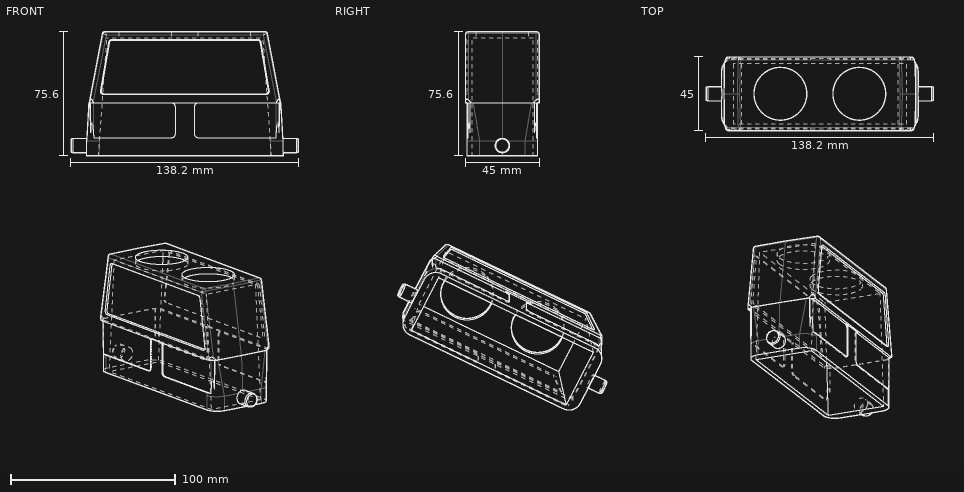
import cadquery as cq
import math

pin_span = 138.2
height = 75.6
skirt_height = 9.2
ledge_height = 32.3

lower_half_width = 21.5
base_half_length = 59.9
skirt_half_length = 59.7
neck_half_length = 58.4
base_corner_radius = 7.7
neck_corner_radius = 3.8
lower_end_crown = 0.1

upper_half_width = 22.5
upper_bottom_half_length = 58.2
upper_top_half_length = 50.0
upper_bottom_crown = 0.4
upper_top_crown = 0.7
upper_fillet = 2.0
end_rim_fillet = 1.37
corner_trim_length = 2.7
corner_trim_width = 4.3
corner_trim_apex = 6.0

entry_diameter = 32.0
entry_offset = 24.0

roof_thickness = 4.0
cavity_half_width = 18.5
cavity_top_half_length = 47.5
cavity_bottom_half_length = 52.6

pin_diameter = 8.8
pin_tip_diameter = 8.0
pin_height = 6.3
pin_end = pin_span / 2
pin_tip_length = 1.2
pin_root = 56.0

panel_bottom = 37.3
panel_top = 70.8
panel_bottom_half_length = 51.7
panel_top_half_length = 46.0
panel_depth = 1.0
panel_wall_draft = 0.5
panel_corner_radius = 2.0

grip_bottom = 11.0
grip_inner_x = 5.8
grip_half_width = 20.8
grip_half_length = 57.4
grip_edge_radius = 2.0
grip_reach = 1.9
grip_corner_radius = 2.5


def crowned_outline(z, half_length, half_width, crown):
    """Rectangle whose two end sides come to a shallow point at y = 0."""
    edge = half_length - crown
    corners = [
        (half_length, 0), (edge, half_width), (-edge, half_width),
        (-half_length, 0), (-edge, -half_width), (edge, -half_width),
    ]
    return cq.Wire.makePolygon([cq.Vector(x, y, z) for x, y in corners], close=True)


def rounded_outline(z, half_length, half_width, crown, radius):
    """Crowned outline with its four side corners rounded."""
    wire = crowned_outline(z, half_length, half_width, crown)
    corners = [v for v in wire.Vertices() if abs(v.Y) > half_width / 2]
    return wire.fillet2D(radius, corners)


def loft(lower_wire, upper_wire):
    return cq.Workplane(cq.Solid.makeLoft([lower_wire, upper_wire], True))


def lower_housing():
    base = rounded_outline(0, base_half_length, lower_half_width,
                           lower_end_crown, base_corner_radius)
    skirt = rounded_outline(skirt_height, skirt_half_length, lower_half_width,
                            lower_end_crown, base_corner_radius)
    neck = rounded_outline(ledge_height, neck_half_length, lower_half_width,
                           lower_end_crown, neck_corner_radius)
    return loft(base, skirt).union(loft(skirt, neck))


def corner_trim():
    """Tetrahedral cutter that trims the lower -X, -Y corner of the upper housing."""
    x = -upper_bottom_half_length
    y = -upper_half_width
    corner = cq.Vector(x, y, ledge_height)
    along_x = cq.Vector(x + corner_trim_length, y, ledge_height)
    along_y = cq.Vector(x, y + corner_trim_width, ledge_height)
    apex = cq.Vector(x, y, ledge_height + corner_trim_apex)
    triangles = [
        (corner, along_x, along_y),
        (corner, along_x, apex),
        (corner, along_y, apex),
        (along_x, along_y, apex),
    ]
    faces = [cq.Face.makeFromWires(cq.Wire.makePolygon(points, close=True)) for points in triangles]
    return cq.Workplane(cq.Solid.makeSolid(cq.Shell.makeShell(faces)))


def upper_housing():
    bottom = crowned_outline(ledge_height, upper_bottom_half_length, upper_half_width, upper_bottom_crown)
    top = crowned_outline(height, upper_top_half_length, upper_half_width, upper_top_crown)
    block = loft(bottom, top)
    side_edges = [
        edge for edge in block.edges().vals()
        if edge.Center().z > ledge_height and abs(edge.Center().y) > lower_half_width
    ]
    block = block.newObject(side_edges).fillet(upper_fillet)
    end_rims = [edge for edge in block.faces(">Z").edges().vals() if abs(edge.Center().x) > entry_offset]
    block = block.newObject(end_rims).fillet(end_rim_fillet)
    left_trim = corner_trim()
    for trim in (left_trim, left_trim.mirror("YZ")):
        block = block.cut(trim).cut(trim.mirror("XZ"))
    return block


def cavity():
    bottom = crowned_outline(0, cavity_bottom_half_length, cavity_half_width, 0)
    top = crowned_outline(height - roof_thickness, cavity_top_half_length, cavity_half_width, 0)
    return loft(bottom, top)


def label_panel():
    """Cutter for the panel on the -Y side, with drafted walls."""
    outline = [
        (-panel_bottom_half_length, panel_bottom),
        (panel_bottom_half_length, panel_bottom),
        (panel_top_half_length, panel_top),
        (-panel_top_half_length, panel_top),
        (-panel_bottom_half_length, panel_bottom),
    ]
    sketch = cq.Sketch().polygon(outline).vertices().fillet(panel_corner_radius)
    draft_angle = math.degrees(math.atan(panel_wall_draft / panel_depth))
    plane = cq.Workplane("XZ", origin=(0, -upper_half_width, 0))
    return plane.placeSketch(sketch).extrude(-panel_depth, taper=draft_angle)


def grip_recess():
    """Cutter for the recess on the -X, -Y corner, leaving a round-edged core."""
    grip_height = ledge_height - grip_bottom
    block = (
        cq.Workplane("XY", origin=(0, 0, grip_bottom))
        .box(base_half_length - grip_inner_x, grip_reach, grip_height, centered=False)
        .translate((-base_half_length, -lower_half_width, 0))
        .edges("|Y and >X")
        .fillet(grip_corner_radius)
    )
    core = (
        cq.Workplane("XY", origin=(0, 0, grip_bottom))
        .rect(2 * grip_half_length, 2 * grip_half_width)
        .extrude(grip_height)
        .edges("|Z")
        .fillet(grip_edge_radius)
    )
    return block.cut(core)


def locking_pin():
    """Pin on the +X end with a chamfered tip."""
    chamfer = (pin_diameter - pin_tip_diameter) / 2
    return (
        cq.Workplane("YZ", origin=(pin_root, 0, pin_height))
        .circle(pin_diameter / 2)
        .extrude(pin_end - pin_root)
        .faces(">X")
        .chamfer(pin_tip_length, chamfer)
    )


def cable_entries():
    return (
        cq.Workplane("XY", origin=(0, 0, height / 2))
        .pushPoints([(-entry_offset, 0), (entry_offset, 0)])
        .circle(entry_diameter / 2)
        .extrude(height)
    )


hood = lower_housing().union(upper_housing())

panel = label_panel()
hood = hood.cut(panel).cut(panel.mirror("XZ"))

left_recess = grip_recess()
for recess in (left_recess, left_recess.mirror("YZ")):
    hood = hood.cut(recess).cut(recess.mirror("XZ"))

hood = hood.cut(cavity()).cut(cable_entries())

pin = locking_pin()
result = hood.union(pin).union(pin.mirror("YZ"))